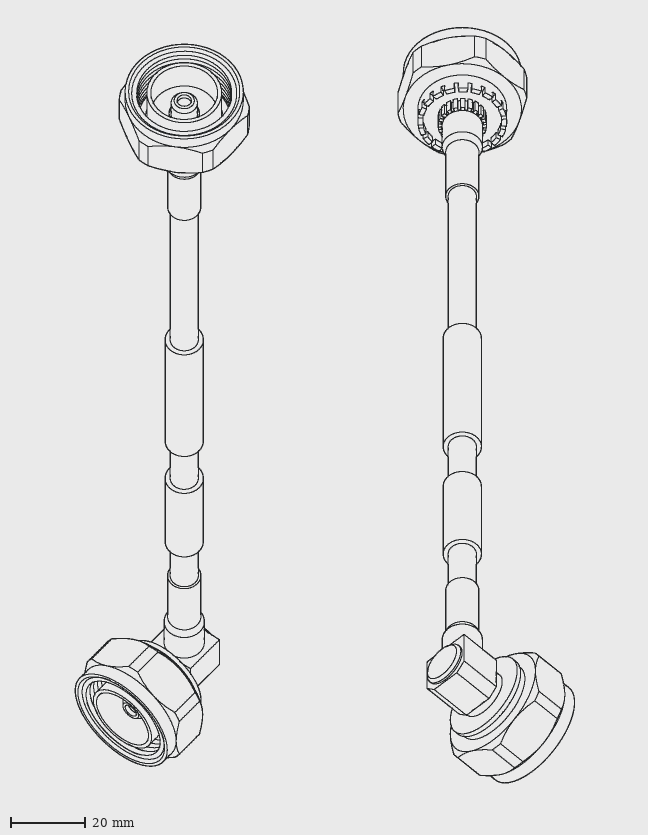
import cadquery as cq
import math

TOTAL_HEIGHT = 271.5
OVERALL_DEPTH = 44.5
HEX_CORNER_RADIUS = 35.0 / 2
ANGLE_FACE_REACH = OVERALL_DEPTH - HEX_CORNER_RADIUS
ANGLE_AXIS_Z = HEX_CORNER_RADIUS

HEX_ACROSS_FLATS = 31.8
COLLAR_RADIUS = HEX_ACROSS_FLATS / 2
COLLAR_DEPTH = 3.8
NUT_DEPTH = 15.2
HEX_CHAMFER = 1.4
MOUTH_RADIUS = 15.0
MOUTH_CHAMFER = 0.8
CAVITY_RADIUS = 12.8
THREAD_ROOT_RADIUS = 14.0
THREAD_PITCH = 1.5
THREAD_TURNS = 6
GAP_DEPTH = 12.0
GASKET_RADIUS = 11.5
GASKET_THICKNESS = 2.0
SHELL_OUTER_RADIUS = 10.0
SHELL_INNER_RADIUS = 9.0
SHELL_SETBACK = 0.5
BORE_DEPTH = 9.5
PIN_RADIUS = 3.5
PIN_TIP_RADIUS = 2.7
PIN_TIP_LENGTH = 1.0
PIN_HOLE_RADIUS = 2.0
PIN_HOLE_DEPTH = 1.4
PIN_SETBACK = 4.0
PIN_RECESS_RADIUS = 4.0
PIN_RECESS_DEPTH = 0.8

FLANGE_RADIUS = 12.0
FLANGE_DEPTH = 18.5
SKIRT_DEPTH = 20.5
SKIRT_INNER_RADIUS = 10.5
SLOT_COUNT = 20
SKIRT_SLOT_WIDTH = 1.0
HUB_RADIUS = 6.5
HUB_DEPTH = 22.3
HUB_GROOVE_WIDTH = 0.8
HUB_GROOVE_CUT = 0.8
STRAIGHT_NECK_DEPTH = 31.2

NECK_RADIUS = 5.5
NECK_TAPER = 2.2
FERRULE_RADIUS = 9.0 / 2
FERRULE_LENGTH = 18.5

ANGLE_FLANGE_DEPTH = 18.7
ANGLE_RIM_RADIUS = 12.5
ANGLE_RIM_THICKNESS = 1.4
BLOCK_SIZE = 13.8
BLOCK_FRONT_Y = -6.0
BLOCK_BACK_Y = 6.5
BLOCK_CHAMFER = 2.7
CAP_RADIUS = 6.2
CAP_THICKNESS = 1.4
CAP_CHAMFER = 0.8
ANGLE_NECK_TOP_Z = 33.7

CABLE_RADIUS = 3.8
SLEEVE_RADIUS = 5.2
SLEEVE_SPANS = [(69.5, 98.0), (114.5, 160.0)]


def cylinder(radius, bottom, top):
    return cq.Workplane("XY").workplane(offset=bottom).circle(radius).extrude(top - bottom)


def ring(outer, inner, bottom, top):
    return cylinder(outer, bottom, top).cut(cylinder(inner, bottom, top))


def frustum(lower, upper, bottom, top):
    """Frustum from the lower radius at the bottom to the upper radius at the top."""
    blank = [(0, bottom), (lower, bottom), (upper, top), (0, top)]
    return cq.Workplane("XZ").polyline(blank).close().revolve(360, (0, 0), (0, 1))


def hex_nut():
    """Hexagon with rounded corners and conical ends, behind a round collar."""
    low, high, corner = -NUT_DEPTH, -COLLAR_DEPTH, HEX_CORNER_RADIUS
    profile = [
        (0, low),
        (COLLAR_RADIUS, low),
        (corner, low + HEX_CHAMFER),
        (corner, high - HEX_CHAMFER),
        (COLLAR_RADIUS, high),
        (0, high),
    ]
    turned = cq.Workplane("XZ").polyline(profile).close().revolve(360, (0, 0), (0, 1))
    across_corners = HEX_ACROSS_FLATS / math.cos(math.radians(30))
    prism = (
        cq.Workplane("XY").workplane(offset=low)
        .polygon(6, across_corners).extrude(high - low)
        .rotate((0, 0, 0), (0, 0, 1), 30)
    )
    return turned.intersect(prism).union(cylinder(COLLAR_RADIUS, high, 0))


def thread_groove(top):
    """Ring-shaped V groove that stands for one turn of the nut's internal thread."""
    middle = top - THREAD_PITCH / 2
    lower = frustum(CAVITY_RADIUS, THREAD_ROOT_RADIUS, top - THREAD_PITCH, middle)
    return lower.union(frustum(THREAD_ROOT_RADIUS, CAVITY_RADIUS, middle, top))


def plug_face():
    """Nut, contact shell, gasket and pin, with the mating face at Z = 0 facing +Z."""
    head = hex_nut()
    head = head.cut(cylinder(CAVITY_RADIUS, -GAP_DEPTH, 0))
    head = head.cut(frustum(MOUTH_RADIUS - MOUTH_CHAMFER, MOUTH_RADIUS, -MOUTH_CHAMFER, 0))
    for turn in range(THREAD_TURNS):
        head = head.cut(thread_groove(-MOUTH_CHAMFER - turn * THREAD_PITCH))
    head = head.union(cylinder(SHELL_OUTER_RADIUS, -GAP_DEPTH, -SHELL_SETBACK))
    head = head.cut(cylinder(SHELL_INNER_RADIUS, -BORE_DEPTH, 0))
    gasket = (
        cq.Workplane("XZ").center(GASKET_RADIUS, -GAP_DEPTH)
        .circle(GASKET_THICKNESS / 2).revolve(360, (-GASKET_RADIUS, 0), (-GASKET_RADIUS, 1))
    )
    head = head.union(gasket)
    head = head.cut(cylinder(PIN_RECESS_RADIUS, -BORE_DEPTH - PIN_RECESS_DEPTH, -BORE_DEPTH))
    pin_shoulder = -PIN_SETBACK - PIN_TIP_LENGTH
    pin = cylinder(PIN_RADIUS, -GAP_DEPTH, pin_shoulder)
    pin = pin.union(frustum(PIN_RADIUS, PIN_TIP_RADIUS, pin_shoulder, -PIN_SETBACK))
    pin = pin.cut(cylinder(PIN_HOLE_RADIUS, -PIN_SETBACK - PIN_HOLE_DEPTH, -PIN_SETBACK))
    return head.union(pin)


def cable_entry(neck_start, neck_end):
    """Neck, taper and crimp ferrule, running up +Z."""
    ferrule_start = neck_end + NECK_TAPER
    neck = cylinder(NECK_RADIUS, neck_start, neck_end)
    taper = frustum(NECK_RADIUS, FERRULE_RADIUS, neck_end, ferrule_start)
    ferrule = cylinder(FERRULE_RADIUS, ferrule_start, ferrule_start + FERRULE_LENGTH)
    return neck.union(taper).union(ferrule)


def radial_slots(width, inner, outer):
    """Evenly spaced radial bars, behind the flange, that cut slots between two radii."""
    return (
        cq.Workplane("XY").workplane(offset=-HUB_DEPTH)
        .polarArray((inner + outer) / 2, 0, 360, SLOT_COUNT)
        .rect(outer - inner, width).extrude(HUB_DEPTH - FLANGE_DEPTH)
    )


def straight_plug():
    flange = cylinder(FLANGE_RADIUS, -FLANGE_DEPTH, -NUT_DEPTH)
    skirt = ring(FLANGE_RADIUS, SKIRT_INNER_RADIUS, -SKIRT_DEPTH, -FLANGE_DEPTH)
    skirt = skirt.cut(radial_slots(SKIRT_SLOT_WIDTH, SKIRT_INNER_RADIUS / 2, 2 * FLANGE_RADIUS))
    hub = cylinder(HUB_RADIUS, -HUB_DEPTH, -FLANGE_DEPTH)
    hub = hub.cut(radial_slots(HUB_GROOVE_WIDTH, HUB_RADIUS - HUB_GROOVE_CUT, 2 * HUB_RADIUS))
    entry = cable_entry(HUB_DEPTH, STRAIGHT_NECK_DEPTH).rotate((0, 0, 0), (1, 0, 0), 180)
    plug = plug_face().union(flange).union(skirt).union(hub).union(entry)
    return plug.translate((0, 0, TOTAL_HEIGHT))


def elbow_block():
    """Square block with chamfered lower edges and a round cap on its back."""
    block = (
        cq.Workplane("XY")
        .box(BLOCK_SIZE, BLOCK_BACK_Y - BLOCK_FRONT_Y, BLOCK_SIZE)
        .edges("|Y and <Z").chamfer(BLOCK_CHAMFER)
        .translate((0, (BLOCK_BACK_Y + BLOCK_FRONT_Y) / 2, ANGLE_AXIS_Z))
    )
    cap = (
        cq.Workplane("XZ", origin=(0, BLOCK_BACK_Y, ANGLE_AXIS_Z))
        .circle(CAP_RADIUS).extrude(-CAP_THICKNESS)
        .faces(">Y").chamfer(CAP_CHAMFER)
    )
    return block.union(cap)


def angle_plug():
    rim_front = -ANGLE_FLANGE_DEPTH + ANGLE_RIM_THICKNESS
    rim = cylinder(ANGLE_RIM_RADIUS, -ANGLE_FLANGE_DEPTH, rim_front)
    flange = cylinder(FLANGE_RADIUS, rim_front, -NUT_DEPTH)
    barrel = cylinder(BLOCK_SIZE / 2, -ANGLE_FACE_REACH - BLOCK_FRONT_Y, -ANGLE_FLANGE_DEPTH)
    head = plug_face().union(flange).union(rim).union(barrel)
    head = head.rotate((0, 0, 0), (1, 0, 0), 90).translate((0, -ANGLE_FACE_REACH, ANGLE_AXIS_Z))
    entry = cable_entry(ANGLE_AXIS_Z + BLOCK_SIZE / 2, ANGLE_NECK_TOP_Z)
    return head.union(elbow_block()).union(entry)


def cable():
    bottom = ANGLE_NECK_TOP_Z + NECK_TAPER + FERRULE_LENGTH
    top = TOTAL_HEIGHT - STRAIGHT_NECK_DEPTH - NECK_TAPER - FERRULE_LENGTH
    return cylinder(CABLE_RADIUS, bottom, top)


def marker_sleeve(bottom, top):
    return ring(SLEEVE_RADIUS, CABLE_RADIUS, bottom, top)


straight_connector = straight_plug()
angle_connector = angle_plug()
coax_cable = cable()
sleeves = [marker_sleeve(bottom, top).val() for bottom, top in SLEEVE_SPANS]
result = cq.Compound.makeCompound([
    straight_connector.val(),
    angle_connector.val(),
    coax_cable.val(),
    *sleeves,
])